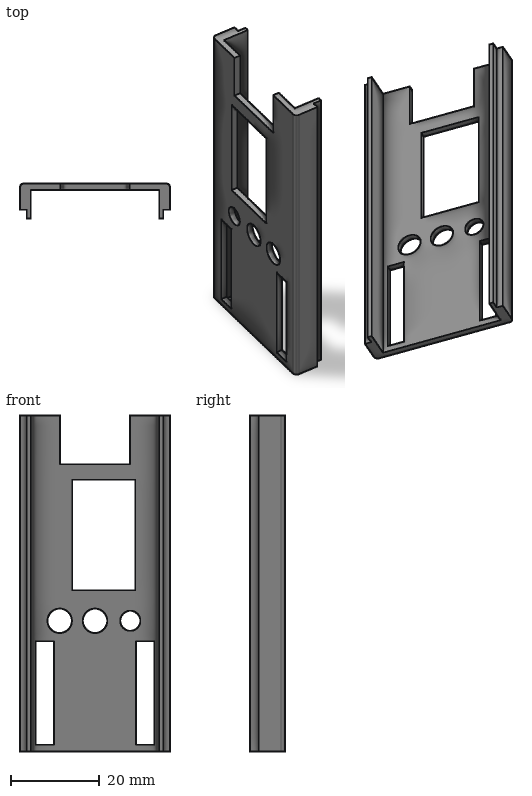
import cadquery as cq

width = 34.0
depth = 8.0
length = 76.0
plate_thickness = 1.5
leg_thickness = 2.5
lip_thickness = 1.0
lip_depth = 2.0
corner_radius = 1.0

notch_width = 15.8
notch_depth = 11.0

window_width = 14.1
window_height = 24.9
window_center_x = 2.0
window_bottom = 36.5

hole_pitch = 8.0
hole_row_height = 29.6
large_hole_diameter = 5.5
small_hole_diameter = 4.5

slot_width = 4.0
slot_height = 23.3
slot_bottom = 1.6
slot_center_x = 11.3


def channel():
    """Channel standing along Z, with each leg stepped to a thin inner lip."""
    body = (
        cq.Workplane("XY")
        .box(width, depth, length, centered=(True, False, False))
        .edges("|Z and >Y")
        .fillet(corner_radius)
    )
    inside_width = width - 2 * leg_thickness
    inside = cq.Workplane("XY").box(
        inside_width, depth - plate_thickness, length, centered=(True, False, False)
    )
    across_lips = inside_width + 2 * lip_thickness
    outer_steps = (
        cq.Workplane("XY")
        .box(width, lip_depth, length, centered=(True, False, False))
        .cut(cq.Workplane("XY").box(across_lips, lip_depth, length, centered=(True, False, False)))
    )
    return body.cut(inside).cut(outer_steps)


def rectangular_opening(center_x, bottom, opening_width, opening_height):
    """Cutter passing through the plate along Y."""
    return (
        cq.Workplane("XY")
        .box(opening_width, depth, opening_height, centered=(True, False, False))
        .translate((center_x, 0, bottom))
    )


def round_opening(center_x, diameter):
    """Round cutter passing through the plate along Y, on the hole row."""
    return (
        cq.Workplane("XZ")
        .center(center_x, hole_row_height)
        .circle(diameter / 2)
        .extrude(-depth)
    )


result = channel()
result = result.cut(rectangular_opening(0, length - notch_depth, notch_width, notch_depth))
result = result.cut(rectangular_opening(window_center_x, window_bottom, window_width, window_height))

for side in (-1, 1):
    result = result.cut(rectangular_opening(side * slot_center_x, slot_bottom, slot_width, slot_height))

hole_diameters = (large_hole_diameter, large_hole_diameter, small_hole_diameter)
for position, diameter in zip((-1, 0, 1), hole_diameters):
    result = result.cut(round_opening(position * hole_pitch, diameter))